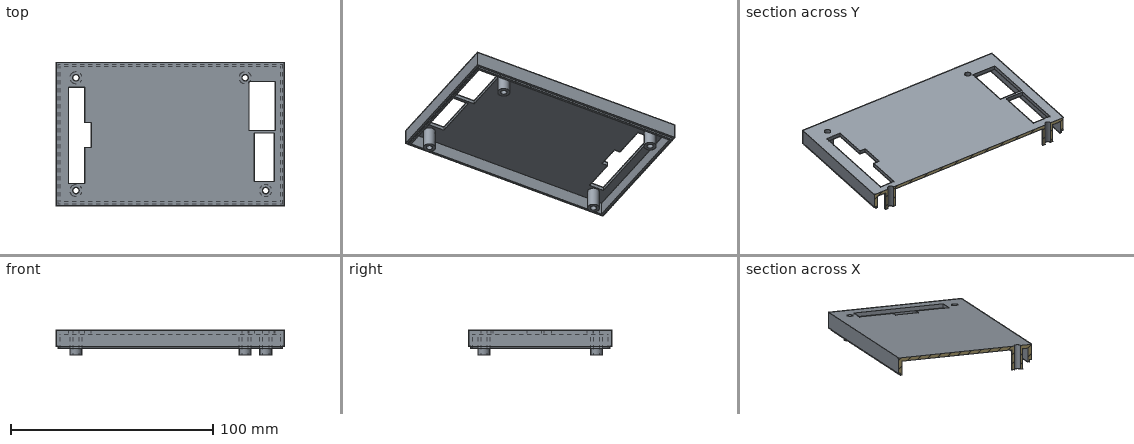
import cadquery as cq

length = 113.0
width = 71.0
total_height = 12.3
skirt_height = 8.0
plate_thickness = 2.0

wall_thickness = 2.0
lip_step = 1.0
lip_height = 1.0

standoff_diameter = 6.0
screw_hole_diameter = 3.0
standoff_left_x = -46.7
standoff_back_right_x = 37.1
standoff_front_right_x = 47.2
standoff_y = 27.9
standoff_centers = [
    (standoff_left_x, standoff_y),
    (standoff_left_x, -standoff_y),
    (standoff_back_right_x, standoff_y),
    (standoff_front_right_x, -standoff_y),
]

left_slot = (-50.3, -42.4, -24.4, 23.2)
left_slot_notch = (left_slot[1], -39.2, -6.5, 5.6)
back_window = (39.0, 51.9, 1.9, 26.0)
front_window = (41.6, 51.4, -23.4, 0.6)


def slab(size_x, size_y, top_z, bottom_z):
    """Box centred on the Z axis between two heights."""
    return (
        cq.Workplane("XY", origin=(0, 0, bottom_z))
        .rect(size_x, size_y)
        .extrude(top_z - bottom_z)
    )


def plate_opening(x_min, x_max, y_min, y_max):
    """Rectangular cutter that passes through the top plate only."""
    return (
        cq.Workplane("XY")
        .moveTo(x_min, y_min)
        .lineTo(x_max, y_min)
        .lineTo(x_max, y_max)
        .lineTo(x_min, y_max)
        .close()
        .extrude(-plate_thickness)
    )


def columns(diameter, top_z):
    """Cylinders at all standoff centres, down to the standoff ends."""
    return (
        cq.Workplane("XY", origin=(0, 0, top_z))
        .pushPoints(standoff_centers)
        .circle(diameter / 2)
        .extrude(-total_height - top_z)
    )


lip_bottom = -skirt_height - lip_height
outer_skirt = slab(length, width, 0, -skirt_height)
outer_lip = slab(length - 2 * lip_step, width - 2 * lip_step, -skirt_height, lip_bottom)
cavity = slab(length - 2 * wall_thickness, width - 2 * wall_thickness, -plate_thickness, lip_bottom)
result = outer_skirt.union(outer_lip).cut(cavity)

for opening in (left_slot, left_slot_notch, back_window, front_window):
    result = result.cut(plate_opening(*opening))

result = result.union(columns(standoff_diameter, -plate_thickness))
result = result.cut(columns(screw_hole_diameter, 0))